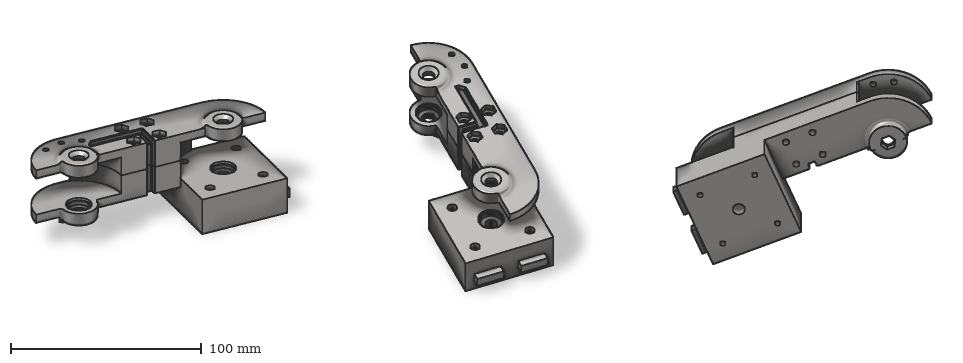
import cadquery as cq
import math

arm_width = 25.0
pivot_spacing = 84.9
plate_thickness = 5.0
fork_gap = 21.8
block_length = 50.0
tab_length = 4.0
total_height = 50.5

boss_radius = 10.0
upper_boss_height = 2.8
lower_boss_height = 3.0
boss_skirt_radius = 3.0
boss_rounding = 2.0
end_inset = 0.3
boss_corner_fillet = 1.5

pivot_hole_diameter = 6.3
countersink_diameter = 10.5
bearing_diameter = 12.0
bearing_lip_diameter = 13.6
bearing_lip_depth = 1.5
bearing_seat_depth = 3.8

plate_top = total_height - upper_boss_height
upper_plate_bottom = plate_top - plate_thickness
lower_plate_top = upper_plate_bottom - fork_gap
lower_plate_bottom = lower_plate_top - plate_thickness
split_level = lower_plate_top + fork_gap / 2

bolt_hole_diameter = 3.3
bolt_spacing_x = 14.0
bolt_spacing_y = 15.0
bolt_row_inset = 5.5
nut_across_flats = 7.1
nut_pocket_depth = 3.3
pivot_nut_floor = 0.5

index_hole_diameter = 3.0
index_circle_radius = 20.5
index_angle_step = 31.0

channel_width = 4.0
channel_depth = 3.0
channel_bevel = 0.5
channel_center_x = -12.5
channel_end_y = 12.0
channel_end_bevel = 2.8

motor_hole_offset = 15.5
motor_hole_diameter = 2.8
motor_counterbore_diameter = 5.0
motor_flange = 5.0
tab_width = 15.0
tab_offset = 12.5
tab_height = 5.0
tab_bottom = 6.0

tip_chamfer = 0.9

lower_pivot_y = 0.0
upper_pivot_y = pivot_spacing
pivots = [lower_pivot_y, upper_pivot_y]
arm_center_y = pivot_spacing / 2
diagonal = math.sqrt(0.5)
hexagon_corner_ratio = 1 / math.cos(math.radians(30))


def cylinder(x, y, z, diameter, height):
    return cq.Workplane("XY", origin=(x, y, z)).circle(diameter / 2).extrude(height)


def slab(x_start, x_end, half_depth, height):
    """Box standing on Z = 0 and centred on Y = 0."""
    block = cq.Workplane("XY", origin=(x_start, 0, 0))
    return block.box(x_end - x_start, 2 * half_depth, height, centered=(False, True, False))


def hexagon(x, y, z, height):
    """Nut pocket with two flats facing along X."""
    outline = cq.Workplane("XY", origin=(x, y, z)).transformed(rotate=(0, 0, 30))
    return outline.polygon(6, nut_across_flats * hexagon_corner_ratio).extrude(height)


def arm_core(bottom, top):
    """Middle of the arm, hollowed at both ends around the pivots."""
    radius = arm_width
    tip_x = tip_chamfer - arm_width
    tip_y = math.sqrt(radius ** 2 - tip_x ** 2)
    mid = radius * diagonal
    far = pivot_spacing
    return (
        cq.Workplane("XY", origin=(0, 0, bottom))
        .moveTo(0, radius)
        .threePointArc((-mid, mid), (tip_x, tip_y))
        .lineTo(-arm_width, tip_y + tip_chamfer)
        .lineTo(-arm_width, far - tip_y - tip_chamfer)
        .lineTo(tip_x, far - tip_y)
        .threePointArc((-mid, far - mid), (0, far - radius))
        .close()
        .extrude(top - bottom)
    )


def half_disc(pivot_y, bottom, height):
    """Almost half of a round arm end, on the -X side of the pivot."""
    disc = cylinder(0, 0, 0, 2 * arm_width, height)
    half = disc.intersect(slab(-arm_width, -end_inset, arm_width, height))
    return half.translate((0, pivot_y, bottom))


def straight_plate(bottom):
    """Straight stretch of an arm plate, from pivot to pivot."""
    plate = cq.Workplane("XY", origin=(0, 0, bottom))
    return plate.rect(-arm_width, pivot_spacing, centered=False).extrude(plate_thickness)


def boss_footprint(height):
    """Boss disc joined to the half plane of the plate, with filleted corners."""
    reach = boss_radius + boss_skirt_radius
    half_plane = slab(-reach, -end_inset, reach, height)
    footprint = half_plane.union(cylinder(0, 0, 0, 2 * boss_radius, height))
    corners = cq.selectors.BoxSelector(
        (-2 * end_inset, -boss_radius, 0), (0, boss_radius, height)
    )
    return footprint.edges("|Z").edges(corners).fillet(boss_corner_fillet)


def revolve_about_pivot(profile):
    return profile.close().revolve(360, (0, 0, 0), (0, 1, 0))


def boss_with_round_rim():
    """Boss whose concave skirt runs tangentially into a convex rim all round."""
    top = plate_thickness + upper_boss_height
    skirt_x = boss_radius + boss_skirt_radius
    skirt_z = plate_thickness + boss_skirt_radius
    rim_z = top - boss_rounding
    reach = boss_skirt_radius + boss_rounding
    rise = skirt_z - rim_z
    rim_x = skirt_x - math.sqrt(reach ** 2 - rise ** 2)
    slope = math.asin(rise / reach)
    join = (rim_x + boss_rounding * math.cos(slope), rim_z + boss_rounding * math.sin(slope))
    skirt_angle = (math.pi / 2 + slope) / 2
    skirt_mid = (
        skirt_x - boss_skirt_radius * math.cos(skirt_angle),
        skirt_z - boss_skirt_radius * math.sin(skirt_angle),
    )
    rim_angle = (math.pi / 2 + slope) / 2
    rim_mid = (
        rim_x + boss_rounding * math.cos(rim_angle),
        rim_z + boss_rounding * math.sin(rim_angle),
    )
    profile = (
        cq.Workplane("XZ")
        .lineTo(skirt_x, 0)
        .lineTo(skirt_x, plate_thickness)
        .threePointArc(skirt_mid, join)
        .threePointArc(rim_mid, (rim_x, top))
        .lineTo(0, top)
    )
    return revolve_about_pivot(profile).intersect(boss_footprint(top))


def boss_with_sharp_skirt():
    """Boss with a full skirt over the plate and a rounded rim beyond its edge."""
    top = plate_thickness + lower_boss_height
    skirt_x = boss_radius + boss_skirt_radius
    bend = boss_skirt_radius * (1 - diagonal)
    profile = (
        cq.Workplane("XZ")
        .lineTo(skirt_x, 0)
        .lineTo(skirt_x, plate_thickness)
        .threePointArc((boss_radius + bend, plate_thickness + bend), (boss_radius, top))
        .lineTo(0, top)
    )
    over_plate = slab(-skirt_x, -end_inset, skirt_x, top)
    skirted = revolve_about_pivot(profile).intersect(over_plate)
    wall_x = (boss_corner_fillet - end_inset) * boss_radius / (boss_radius + boss_corner_fillet)
    corners = boss_footprint(top).intersect(slab(-end_inset, wall_x, skirt_x, top))
    rounded = cylinder(0, 0, 0, 2 * boss_radius, top).faces(">Z").edges().fillet(boss_rounding)
    rounded = rounded.intersect(slab(wall_x, skirt_x, skirt_x, top))
    return skirted.union(corners).union(rounded)


def stepped_bearing_seat(y):
    """Bearing recess with a wider lip, sunk into the lower fork face."""
    lip_bottom = lower_plate_top - bearing_lip_depth
    seat_bottom = lower_plate_top - bearing_seat_depth
    lip = cylinder(0, y, lip_bottom, bearing_lip_diameter, bearing_lip_depth)
    return lip.union(cylinder(0, y, seat_bottom, bearing_diameter, bearing_seat_depth))


def pivot_countersink():
    """Conical mouth opening upward at Z = 0."""
    depth = (countersink_diameter - pivot_hole_diameter) / 2
    profile = (
        cq.Workplane("XZ")
        .lineTo(0, -depth)
        .lineTo(pivot_hole_diameter / 2, -depth)
        .lineTo(countersink_diameter / 2, 0)
    )
    return revolve_about_pivot(profile)


def bolt_positions():
    first_x = bolt_row_inset - arm_width
    return [
        (first_x + column * bolt_spacing_x, arm_center_y + side * bolt_spacing_y / 2)
        for column in (0, 1)
        for side in (-1, 1)
    ]


def drill_bolts(body):
    for x, y in bolt_positions():
        body = body.cut(cylinder(x, y, 0, bolt_hole_diameter, total_height))
    return body


def channel_layer(half_width, bottom, height, taper):
    """One layer of the L-shaped channel, overrunning both of its ends."""
    outer_x = channel_center_x - half_width
    inner_x = channel_center_x + half_width
    overrun = arm_width
    outline = [
        (overrun, arm_center_y + half_width),
        (outer_x, arm_center_y + half_width),
        (outer_x, -overrun),
        (inner_x, -overrun),
        (inner_x, arm_center_y - half_width),
        (overrun, arm_center_y - half_width),
    ]
    layer = cq.Workplane("XY", origin=(0, 0, bottom)).polyline(outline).close()
    return layer.extrude(height, taper=taper)


def top_channel():
    """L-shaped channel in the upper plate with bevelled rim and floor."""
    half = channel_width / 2
    floor = plate_top - channel_depth
    wall = channel_depth - 2 * channel_bevel
    channel = (
        channel_layer(half - channel_bevel, floor, channel_bevel, -45)
        .union(channel_layer(half, floor + channel_bevel, wall, 0))
        .union(channel_layer(half, plate_top - channel_bevel, channel_bevel, -45))
    )
    left = channel_center_x - half - channel_bevel
    top_y = arm_center_y + channel_width
    limits = [
        (left + channel_end_bevel, channel_end_y),
        (arm_width / 2, channel_end_y),
        (arm_width / 2, top_y),
        (left, top_y),
        (left, channel_end_y + channel_end_bevel),
    ]
    clip = cq.Workplane("XY", origin=(0, 0, floor)).polyline(limits).close()
    return channel.intersect(clip.extrude(channel_depth))


def side_channel():
    """Continuation of the channel down the +X side of the arm."""
    half = channel_width / 2
    section = [
        (0, half + channel_bevel),
        (-channel_bevel, half),
        (channel_bevel - channel_depth, half),
        (-channel_depth, half - channel_bevel),
    ]
    section += [(x, -y) for x, y in reversed(section)]
    groove = cq.Workplane("XY", origin=(0, arm_center_y, 0)).polyline(section).close()
    return groove.extrude(total_height)


def channel_bend():
    """Bevel where the channel floor turns down the side of the arm."""
    floor = plate_top - channel_depth
    section = [
        (-channel_depth, floor),
        (-channel_depth - channel_bevel, floor),
        (-channel_depth, floor - channel_bevel),
    ]
    floor_half = channel_width / 2 - channel_bevel
    bend = cq.Workplane("XZ", origin=(0, arm_center_y, 0)).polyline(section).close()
    return bend.extrude(floor_half, both=True)


def make_upper_arm():
    body = straight_plate(upper_plate_bottom).union(arm_core(split_level, plate_top))
    for y in pivots:
        body = body.union(half_disc(y, upper_plate_bottom, plate_thickness))
        body = body.union(boss_with_round_rim().translate((0, y, upper_plate_bottom)))
    for y in pivots:
        body = body.cut(cylinder(0, y, upper_plate_bottom, pivot_hole_diameter, total_height))
        body = body.cut(pivot_countersink().translate((0, y, total_height)))
        body = body.cut(cylinder(0, y, upper_plate_bottom, bearing_diameter, bearing_seat_depth))
    body = drill_bolts(body)
    for x, y in bolt_positions():
        body = body.cut(hexagon(x, y, plate_top - nut_pocket_depth, nut_pocket_depth))
    for step in (-1, 0, 1):
        angle = math.radians(180 + step * index_angle_step)
        x = index_circle_radius * math.cos(angle)
        y = index_circle_radius * math.sin(angle)
        body = body.cut(cylinder(x, y, upper_plate_bottom, index_hole_diameter, plate_thickness))
    return body.cut(top_channel()).cut(side_channel()).cut(channel_bend())


def motor_block():
    block = cq.Workplane("XY", origin=(0, upper_pivot_y, 0))
    block = block.rect(block_length, block_length).extrude(lower_plate_top)
    tab_y = upper_pivot_y + block_length / 2
    for x in (-tab_offset, tab_offset):
        tab = cq.Workplane("XY", origin=(x - tab_width / 2, tab_y, tab_bottom))
        block = block.union(tab.box(tab_width, tab_length, tab_height, centered=False))
    return block


def make_lower_arm():
    body = straight_plate(lower_plate_bottom).union(arm_core(lower_plate_bottom, split_level))
    body = body.union(half_disc(lower_pivot_y, lower_plate_bottom, plate_thickness))
    boss = boss_with_sharp_skirt().rotate((0, 0, 0), (1, 0, 0), 180)
    body = body.union(boss.translate((0, lower_pivot_y, lower_plate_top)))
    body = body.union(motor_block())
    for y in pivots:
        body = body.cut(cylinder(0, y, 0, pivot_hole_diameter, lower_plate_top))
        body = body.cut(stepped_bearing_seat(y))
    pivot_nut_height = lower_plate_top - bearing_seat_depth - pivot_nut_floor
    body = body.cut(hexagon(0, lower_pivot_y, 0, pivot_nut_height))
    for x in (-motor_hole_offset, motor_hole_offset):
        for offset_y in (-motor_hole_offset, motor_hole_offset):
            y = upper_pivot_y + offset_y
            depth = lower_plate_top - motor_flange
            body = body.cut(cylinder(x, y, 0, motor_hole_diameter, lower_plate_top))
            body = body.cut(cylinder(x, y, motor_flange, motor_counterbore_diameter, depth))
    return drill_bolts(body).cut(side_channel())


upper_arm = make_upper_arm()
lower_arm = make_lower_arm()
result = cq.Compound.makeCompound([upper_arm.val(), lower_arm.val()])